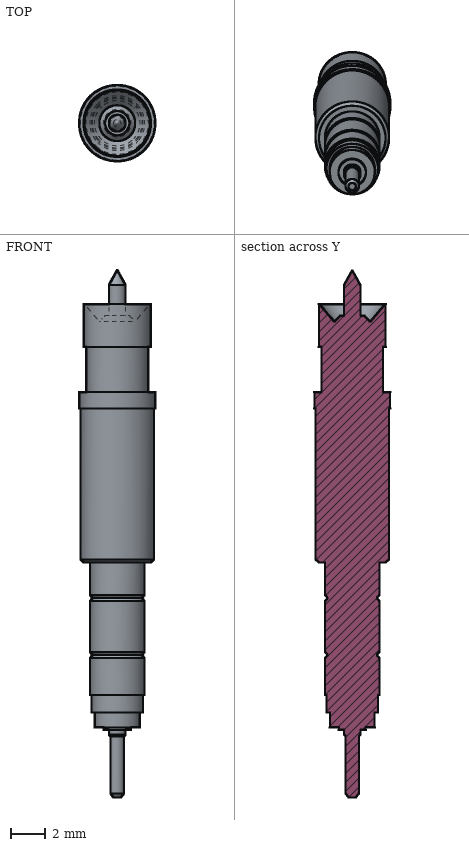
import cadquery as cq

total_height = 31.0
point_base = 30.1
head_top = 29.0
head_bottom = 26.47
collar_top = 23.8
collar_bottom = 22.85
barrel_chamfer_top = 13.98
barrel_bottom = 13.8
upper_groove_centre = 11.72
lower_groove_centre = 8.37
stem_bottom = 6.0
first_step_bottom = 5.0
second_step_bottom = 4.12
washer_bottom = 3.97
tail_collar_bottom = 3.7
tail_collar_chamfer_bottom = 3.6
tail_chamfer_height = 0.25

contact_pin_radius = 0.5
head_radius = 1.98
neck_radius = 1.83
collar_diameter = 4.5
collar_radius = collar_diameter / 2
barrel_radius = 2.17
barrel_end_radius = 1.95
stem_radius = 1.6
first_step_radius = 1.52
second_step_radius = 1.33
washer_radius = 0.8
tail_collar_radius = 0.5
tail_radius = 0.4
tail_end_radius = 0.22

groove_depth = 0.15
groove_width = 0.37

cup_rim_radius = 1.92
cup_floor_radius = 1.05
cup_depth = 1.02
boss_top_radius = 0.7
boss_top_depth = 0.68


def disc(radius, bottom, top):
    """Round section of the body between two heights."""
    return cq.Workplane("XY").workplane(offset=bottom).circle(radius).extrude(top - bottom)


def cone(bottom_radius, top_radius, bottom, top):
    """Tapered section of the body between two heights; a zero top radius gives a point."""
    height = top - bottom
    return cq.Workplane(cq.Solid.makeCone(bottom_radius, top_radius, height, cq.Vector(0, 0, bottom)))


def groove(centre):
    """Triangular ring to cut from the stem."""
    half_width = groove_width / 2
    profile = [
        (stem_radius, centre - half_width),
        (stem_radius - groove_depth, centre),
        (stem_radius, centre + half_width),
    ]
    return cq.Workplane("XZ").polyline(profile).close().revolve(360, (0, 0, 0), (0, 1, 0))


body = cone(tail_end_radius, tail_radius, 0, tail_chamfer_height)
body = body.union(disc(tail_radius, tail_chamfer_height, tail_collar_chamfer_bottom))
body = body.union(cone(tail_radius, tail_collar_radius, tail_collar_chamfer_bottom, tail_collar_bottom))
body = body.union(disc(tail_collar_radius, tail_collar_bottom, washer_bottom))
body = body.union(disc(washer_radius, washer_bottom, second_step_bottom))
body = body.union(disc(second_step_radius, second_step_bottom, first_step_bottom))
body = body.union(disc(first_step_radius, first_step_bottom, stem_bottom))
body = body.union(disc(stem_radius, stem_bottom, barrel_bottom))
body = body.union(cone(barrel_end_radius, barrel_radius, barrel_bottom, barrel_chamfer_top))
body = body.union(disc(barrel_radius, barrel_chamfer_top, collar_bottom))
body = body.union(disc(collar_radius, collar_bottom, collar_top))
body = body.union(disc(neck_radius, collar_top, head_bottom))
body = body.union(disc(head_radius, head_bottom, head_top))

for groove_centre in (upper_groove_centre, lower_groove_centre):
    body = body.cut(groove(groove_centre))

cup_floor = head_top - cup_depth
boss_top = head_top - boss_top_depth
body = body.cut(cone(cup_floor_radius, cup_rim_radius, cup_floor, head_top))
body = body.union(cone(cup_floor_radius, boss_top_radius, cup_floor, boss_top))

contact_pin = disc(contact_pin_radius, cup_floor, point_base)
contact_point = cone(contact_pin_radius, 0, point_base, total_height)

result = body.union(contact_pin).union(contact_point)